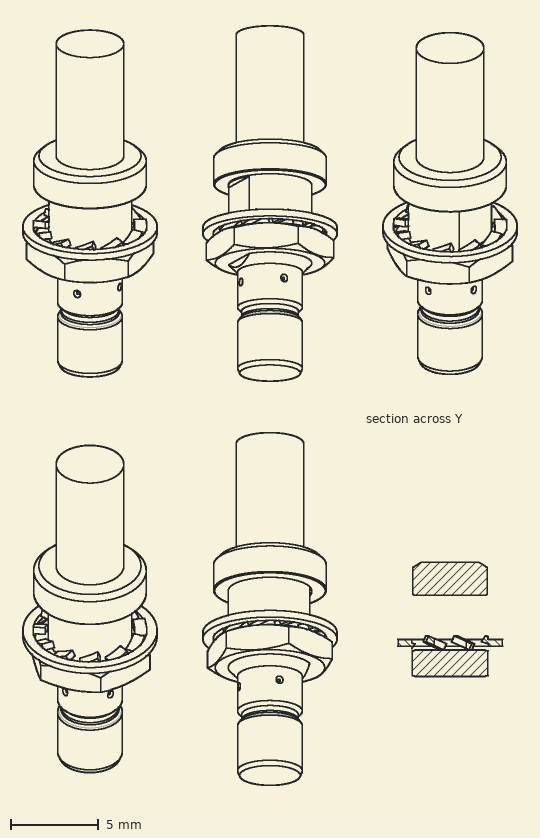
import cadquery as cq
import math

total_height = 20.0
collar_top = 13.02
collar_bottom = 11.12
flat_top = 11.05
nut_top = 8.02
nut_bottom = 6.5
dimple_height = 5.15
groove_top = 3.88
groove_floor_top = 3.65
groove_floor_bottom = 3.35
groove_knee = 3.25
groove_shoulder = 3.12
groove_bottom = 3.0

cable_radius = 3.85 / 2
collar_radius = 6.42 / 2
collar_top_chamfer = 0.3
collar_bottom_chamfer = 0.05
shank_radius = 2.38
plug_radius = 3.7 / 2
plug_chamfer_height = 0.28
plug_chamfer_depth = 0.12
groove_radius = 1.62
groove_knee_radius = 1.65
groove_shoulder_radius = 1.78
shank_taper = shank_radius - plug_radius

flat_distance = 1.95

nut_sides = 6
nut_width = 6.32
nut_corner_radius = nut_width / 2 / math.cos(math.pi / nut_sides)
nut_face_radius = 3.12
nut_chamfer_height = 0.25

dimple_count = 4
dimple_radius = 0.22
dimple_floor_radius = 0.08
dimple_depth = 0.15

washer_radius = 7.65 / 2
washer_inner_radius = 3.25
washer_thickness = 0.4
tooth_inner_radius = 2.55
tooth_count = 11
tooth_length = 1.12
tooth_thickness = 0.38
tooth_tilt = 24.0
first_tooth_angle = 255.0
tooth_tilt_radians = math.radians(tooth_tilt)
tooth_half_height = (
    tooth_length * math.sin(tooth_tilt_radians) + tooth_thickness * math.cos(tooth_tilt_radians)
) / 2
washer_height = nut_top + tooth_half_height


def make_turned_body():
    """Cable, collar, shank and plug as one revolved profile."""
    outline = [
        (0, 0),
        (plug_radius - plug_chamfer_depth, 0),
        (plug_radius, plug_chamfer_height),
        (plug_radius, groove_bottom),
        (groove_shoulder_radius, groove_shoulder),
        (groove_knee_radius, groove_knee),
        (groove_radius, groove_floor_bottom),
        (groove_radius, groove_floor_top),
        (plug_radius, groove_top),
        (plug_radius, nut_bottom - shank_taper),
        (shank_radius, nut_bottom),
        (shank_radius, collar_bottom),
        (collar_radius - collar_bottom_chamfer, collar_bottom),
        (collar_radius, collar_bottom + collar_bottom_chamfer),
        (collar_radius, collar_top - collar_top_chamfer),
        (collar_radius - collar_top_chamfer, collar_top),
        (cable_radius, collar_top),
        (cable_radius, total_height),
        (0, total_height),
    ]
    return cq.Workplane("XZ").polyline(outline).close().revolve(360, (0, 0), (0, 1))


def make_flat_cutter():
    """Block that leaves the flat on the -X side of the shank."""
    cutter_bottom = nut_bottom - shank_taper
    cutter_height = flat_top - cutter_bottom
    return (
        cq.Workplane("XY")
        .box(shank_radius, 2 * shank_radius, cutter_height, centered=(False, True, False))
        .translate((-flat_distance - shank_radius, 0, cutter_bottom))
    )


def make_dimple_cutter():
    """Cone pointing inward from the +X side of the plug."""
    outline = [
        (plug_radius - dimple_depth, 0),
        (plug_radius - dimple_depth, dimple_floor_radius),
        (plug_radius, dimple_radius),
        (plug_radius + dimple_depth, dimple_radius),
        (plug_radius + dimple_depth, 0),
    ]
    cone = cq.Workplane("XZ").polyline(outline).close().revolve(360, (0, 0), (1, 0))
    return cone.translate((0, 0, dimple_height))


def make_nut():
    """Hexagon with flats facing +X and -X and conical chamfers on both ends."""
    hexagon = (
        cq.Workplane("XY", origin=(0, 0, nut_bottom))
        .polygon(nut_sides, 2 * nut_corner_radius)
        .extrude(nut_top - nut_bottom)
        .rotate((0, 0, 0), (0, 0, 1), 180 / nut_sides)
    )
    envelope_outline = [
        (0, nut_bottom),
        (nut_face_radius, nut_bottom),
        (nut_corner_radius, nut_bottom + nut_chamfer_height),
        (nut_corner_radius, nut_top - nut_chamfer_height),
        (nut_face_radius, nut_top),
        (0, nut_top),
    ]
    envelope = cq.Workplane("XZ").polyline(envelope_outline).close().revolve(360, (0, 0), (0, 1))
    return hexagon.intersect(envelope)


def make_connector():
    """Turned body with its shank flat, fixed nut and plug dimples."""
    connector = make_turned_body().cut(make_flat_cutter()).union(make_nut())
    for index in range(dimple_count):
        angle = index * 360 / dimple_count
        connector = connector.cut(make_dimple_cutter().rotate((0, 0, 0), (0, 0, 1), angle))
    return connector


def make_ring(outer_radius, inner_radius, height):
    """Flat ring centred on the middle height of the washer."""
    return (
        cq.Workplane("XY", origin=(0, 0, washer_height - height / 2))
        .circle(outer_radius)
        .circle(inner_radius)
        .extrude(height)
    )


def make_tooth():
    """Tooth on the +X side, its counterclockwise end twisted upward."""
    plate = (
        cq.Workplane("XY")
        .box(washer_radius, tooth_length, tooth_thickness, centered=(False, True, True))
        .rotate((0, 0, 0), (1, 0, 0), tooth_tilt)
        .translate((0, 0, washer_height))
    )
    return plate.intersect(make_ring(washer_inner_radius, tooth_inner_radius, 2 * tooth_half_height))


def make_lock_washer():
    """Flat ring with twisted teeth on its inner edge."""
    washer = make_ring(washer_radius, washer_inner_radius, washer_thickness)
    tooth = make_tooth()
    for index in range(tooth_count):
        angle = first_tooth_angle + index * 360 / tooth_count
        washer = washer.union(tooth.rotate((0, 0, 0), (0, 0, 1), angle))
    return washer


connector = make_connector()
lock_washer = make_lock_washer()

result = cq.Compound.makeCompound([connector.val(), lock_washer.val()])